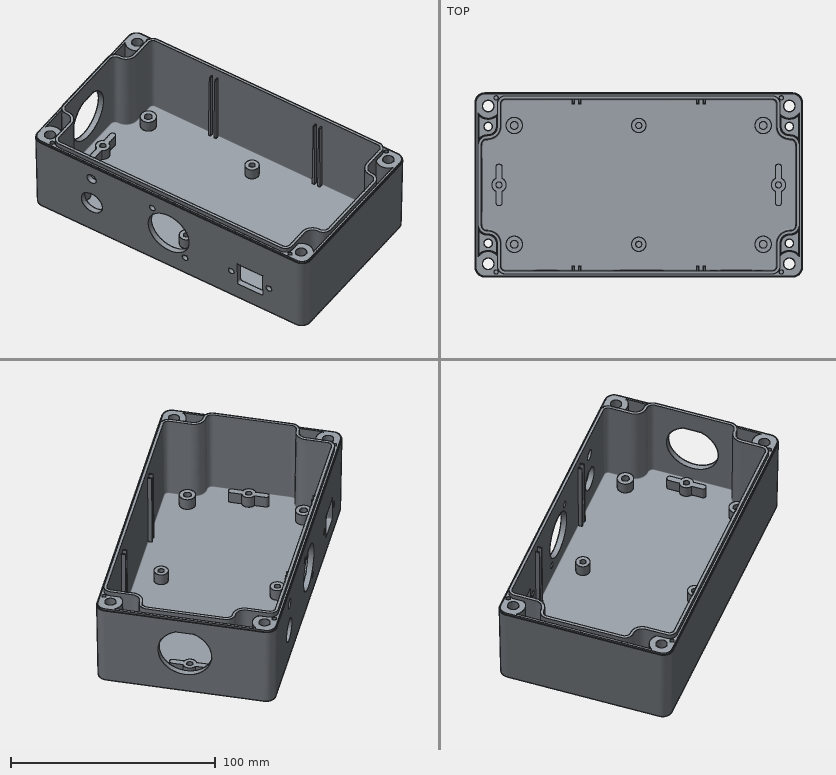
import cadquery as cq
import math

LENGTH = 159.97
WIDTH = 89.97
TOTAL_HEIGHT = 47.5
CORNER_RADIUS = 5.0
OUTER_DRAFT = 0.75
INNER_DRAFT = 0.65
BOTTOM_FILLET = 1.0
FLOOR_THICKNESS = 2.7
FLOOR_FILLET = 0.5

LIP_HEIGHT = 2.5
LIP_THICKNESS = 1.5
LIP_HALF_LENGTH = 78.4
LIP_HALF_WIDTH = 43.5
NECK_HALF_LENGTH = 69.0
LIP_CORNER_RADIUS = 4.0
NECK_RADIUS = 4.5
RIM_Z = TOTAL_HEIGHT - LIP_HEIGHT

LEDGE_WIDTH = 0.5
LEDGE_DEPTH = 1.0
LEDGE_Z = RIM_Z - LEDGE_DEPTH

CORNER_HOLE_X = NECK_HALF_LENGTH + NECK_RADIUS
LID_HOLE_Y = 38.5
LID_HOLE_DIAMETER = 5.5
LID_TOWER_RADIUS = 6.0
MOUNTING_HOLE_Y = 28.5
MOUNTING_HOLE_DIAMETER = 4.0
PIN_HOLE_X = 69.6
PIN_HOLE_Y = 42.5
PIN_HOLE_DIAMETER = 2.1
PIN_HOLE_DEPTH = 5.0

STANDOFF_HEIGHT = 6.0
STANDOFF_Y = 29.0
CORNER_STANDOFF_X = 60.75
CORNER_STANDOFF_DIAMETER = 8.0
CORNER_STANDOFF_BORE = 3.8
MIDDLE_STANDOFF_DIAMETER = 7.0
MIDDLE_STANDOFF_BORE = 3.0

WINGED_BOSS_X = 68.2
WINGED_BOSS_HEIGHT = 6.0
WINGED_BOSS_DIAMETER = 7.0
WINGED_BOSS_BORE = 3.0
WING_SPAN = 20.2
WING_THICKNESS = 3.0
WING_END_RADIUS = 1.4

GUIDE_X = 30.4
GUIDE_RIB_SPACING = 3.2
GUIDE_RIB_THICKNESS = 1.3
GUIDE_RIB_TIP_Y = 39.6
GUIDE_RIB_TOP_Z = 42.0
GUIDE_RIB_DRAFT = 0.5

BUTTON_X = -45.0
BUTTON_HOLE_DIAMETER = 12.3
BUTTON_HOLE_Z = 19.0
LAMP_HOLE_DIAMETER = 5.4
LAMP_HOLE_Z = 35.5
CONNECTOR_Z = 23.0
CONNECTOR_DIAMETER = 24.0
CONNECTOR_SCREW_DX = 9.5
CONNECTOR_SCREW_DZ = 12.0
WINDOW_X = 47.6
WINDOW_Z = 16.8
WINDOW_WIDTH = 14.9
WINDOW_HEIGHT = 13.6
WINDOW_CORNER_RADIUS = 1.0
WINDOW_SCREW_SPACING = 22.0
PANEL_SCREW_DIAMETER = 3.3

END_HOLE_Z = 24.2
END_HOLE_DIAMETER = 26.8
END_HOLE_FLAT_HEIGHT = 12.6

CUTTER_DEPTH = 5.0

SIDES = (-1, 1)
QUADRANTS = [(side_x, side_y) for side_x in SIDES for side_y in SIDES]


def mirrored(x, y):
    """The four points that mirror (x, y) about both middle planes."""
    return [(side_x * x, side_y * y) for side_x, side_y in QUADRANTS]


def fillet_uprights(block, x, y, z, radius):
    """Round the four upright edges of block nearest the mirrors of (x, y, z)."""
    for corner_x, corner_y in mirrored(x, y):
        selector = cq.selectors.NearestToPointSelector((corner_x, corner_y, z))
        block = block.edges(selector).fillet(radius)
    return block


def drafted_block(length, width, top_z, depth, radius, taper):
    """Block hanging down from top_z with rounded corners, narrowing downwards for a positive taper."""
    block = cq.Workplane("XY", origin=(0, 0, top_z)).rect(length, width).extrude(-depth, taper=taper)
    return fillet_uprights(block, length / 2, width / 2, top_z - depth / 2, radius)


def stepped_block(inset, top_z, depth, taper=0):
    """Block hanging down from top_z, with the lip outline moved inwards by inset as its top.

    The outline is a rectangle that steps in at each corner, round the mounting hole.
    """
    end_x = LIP_HALF_LENGTH - inset
    end_y = LIP_HALF_WIDTH - inset
    neck_x = NECK_HALF_LENGTH - inset
    shoulder_y = MOUNTING_HOLE_Y - NECK_RADIUS - inset
    quarter = [(end_x, shoulder_y), (neck_x, shoulder_y), (neck_x, end_y)]
    back_half = quarter + [(-x, y) for x, y in reversed(quarter)]
    front_half = [(-x, -y) for x, y in back_half]
    block = (
        cq.Workplane("XY", origin=(0, 0, top_z))
        .polyline(back_half + front_half).close()
        .extrude(-depth)
    )
    mid_z = top_z - depth / 2
    block = fillet_uprights(block, end_x, shoulder_y, mid_z, NECK_RADIUS - inset)
    block = fillet_uprights(block, neck_x, shoulder_y, mid_z, NECK_RADIUS + inset)
    block = fillet_uprights(block, neck_x, end_y, mid_z, LIP_CORNER_RADIUS - inset)
    if taper == 0:
        return block
    outline = block.faces(">Z").wires().val()
    return cq.Workplane("XY", origin=(0, 0, top_z)).add(outline).toPending().extrude(-depth, taper=taper)


def outer_body():
    """Drafted body with a rounded bottom edge, and the narrower band above the ledge."""
    body = drafted_block(LENGTH, WIDTH, LEDGE_Z, LEDGE_Z, CORNER_RADIUS, OUTER_DRAFT)
    body = body.faces("<Z").edges().fillet(BOTTOM_FILLET)
    band = drafted_block(
        LENGTH - 2 * LEDGE_WIDTH, WIDTH - 2 * LEDGE_WIDTH, RIM_Z, LEDGE_DEPTH, CORNER_RADIUS - LEDGE_WIDTH, 0
    )
    return body.union(band)


def cavity():
    """Inside of the box: upright within the lip, drafted below it, rounded at the floor."""
    upper = stepped_block(LIP_THICKNESS, TOTAL_HEIGHT, LIP_HEIGHT)
    lower = stepped_block(LIP_THICKNESS, RIM_Z, RIM_Z - FLOOR_THICKNESS, INNER_DRAFT)
    lower = lower.faces("<Z").edges().fillet(FLOOR_FILLET)
    return lower.union(upper)


def corner_pockets():
    """Open pockets over the mounting holes, between the lip wall, the towers and the end walls."""
    depth = RIM_Z - FLOOR_THICKNESS
    pockets = (
        cq.Workplane("XY", origin=(0, 0, RIM_Z))
        .rect(2 * LIP_HALF_LENGTH, 2 * LID_HOLE_Y).extrude(-depth, taper=INNER_DRAFT)
    )
    towers = (
        cq.Workplane("XY", origin=(0, 0, RIM_Z))
        .pushPoints(mirrored(CORNER_HOLE_X, LID_HOLE_Y)).circle(LID_TOWER_RADIUS)
        .extrude(-depth, taper=-INNER_DRAFT)
    )
    return pockets.cut(stepped_block(0, RIM_Z, depth, -INNER_DRAFT)).cut(towers)


def corner_holes():
    """Through holes for the lid and mounting screws, and the blind pin holes beside the lip."""
    through = (
        cq.Workplane("XY")
        .pushPoints(mirrored(CORNER_HOLE_X, LID_HOLE_Y)).circle(LID_HOLE_DIAMETER / 2).extrude(RIM_Z)
        .pushPoints(mirrored(CORNER_HOLE_X, MOUNTING_HOLE_Y)).circle(MOUNTING_HOLE_DIAMETER / 2)
        .extrude(RIM_Z)
    )
    pins = (
        cq.Workplane("XY", origin=(0, 0, RIM_Z))
        .pushPoints(mirrored(PIN_HOLE_X, PIN_HOLE_Y)).circle(PIN_HOLE_DIAMETER / 2)
        .extrude(-PIN_HOLE_DEPTH)
    )
    return through.union(pins)


def standoff(points, diameter, bore):
    """Tubular standoffs on the floor, with blind bores, centred on points."""
    base = cq.Workplane("XY", origin=(0, 0, FLOOR_THICKNESS)).pushPoints(points)
    return base.circle(diameter / 2).circle(bore / 2).extrude(STANDOFF_HEIGHT)


def standoffs():
    """Four corner standoffs and a smaller pair on the middle plane."""
    corners = standoff(
        mirrored(CORNER_STANDOFF_X, STANDOFF_Y), CORNER_STANDOFF_DIAMETER, CORNER_STANDOFF_BORE
    )
    middle_points = [(0, side * STANDOFF_Y) for side in SIDES]
    return corners.union(standoff(middle_points, MIDDLE_STANDOFF_DIAMETER, MIDDLE_STANDOFF_BORE))


def winged_bosses():
    """Bored bosses near the end walls, each with a wing towards either long wall."""
    points = [(side * WINGED_BOSS_X, 0) for side in SIDES]
    base = cq.Workplane("XY", origin=(0, 0, FLOOR_THICKNESS)).pushPoints(points)
    wings = base.rect(WING_THICKNESS, WING_SPAN).extrude(WINGED_BOSS_HEIGHT)
    wings = wings.edges("|Z").fillet(WING_END_RADIUS)
    bosses = base.circle(WINGED_BOSS_DIAMETER / 2).extrude(WINGED_BOSS_HEIGHT)
    bores = base.circle(WINGED_BOSS_BORE / 2).extrude(WINGED_BOSS_HEIGHT)
    return wings.union(bosses).cut(bores)


def guide_ribs():
    """Pairs of upright ribs on both long walls, running down to the floor."""
    root_y = LIP_HALF_WIDTH
    points = [
        (side_x * GUIDE_X + rib_side * GUIDE_RIB_SPACING / 2, side_y * (root_y + GUIDE_RIB_TIP_Y) / 2)
        for side_x, side_y in QUADRANTS
        for rib_side in SIDES
    ]
    return (
        cq.Workplane("XY", origin=(0, 0, FLOOR_THICKNESS)).pushPoints(points)
        .rect(GUIDE_RIB_THICKNESS, root_y - GUIDE_RIB_TIP_Y)
        .extrude(GUIDE_RIB_TOP_Z - FLOOR_THICKNESS, taper=GUIDE_RIB_DRAFT)
    )


def front_wall_holes(points, diameter):
    """Cutters through the front wall at (x, z) points."""
    plane = cq.Workplane("XZ", origin=(0, -WIDTH / 2, 0))
    return plane.pushPoints(points).circle(diameter / 2).extrude(-CUTTER_DEPTH)


def front_wall_openings():
    """Button, lamp, round connector and window openings with their screw holes."""
    screws = [(side * CONNECTOR_SCREW_DX, CONNECTOR_Z - side * CONNECTOR_SCREW_DZ) for side in SIDES]
    screws += [(WINDOW_X + side * WINDOW_SCREW_SPACING / 2, WINDOW_Z) for side in SIDES]
    window = (
        cq.Workplane("XZ", origin=(0, -WIDTH / 2, 0))
        .center(WINDOW_X, WINDOW_Z).rect(WINDOW_WIDTH, WINDOW_HEIGHT).extrude(-CUTTER_DEPTH)
        .edges("|Y").edges("<Z").fillet(WINDOW_CORNER_RADIUS)
    )
    return (
        window
        .union(front_wall_holes([(BUTTON_X, BUTTON_HOLE_Z)], BUTTON_HOLE_DIAMETER))
        .union(front_wall_holes([(BUTTON_X, LAMP_HOLE_Z)], LAMP_HOLE_DIAMETER))
        .union(front_wall_holes([(0, CONNECTOR_Z)], CONNECTOR_DIAMETER))
        .union(front_wall_holes(screws, PANEL_SCREW_DIAMETER))
    )


def end_wall_opening():
    """Round opening with a flat top through the left end wall."""
    radius = END_HOLE_DIAMETER / 2
    plane = cq.Workplane("YZ", origin=(-LENGTH / 2, 0, END_HOLE_Z))
    opening = plane.circle(radius).extrude(CUTTER_DEPTH)
    height_kept = radius + END_HOLE_FLAT_HEIGHT
    middle_of_kept = (END_HOLE_FLAT_HEIGHT - radius) / 2
    below_flat = plane.center(0, middle_of_kept).rect(END_HOLE_DIAMETER, height_kept).extrude(CUTTER_DEPTH)
    return opening.intersect(below_flat)


result = (
    outer_body()
    .union(stepped_block(0, TOTAL_HEIGHT, LIP_HEIGHT))
    .cut(cavity())
    .cut(corner_pockets())
    .cut(corner_holes())
    .union(guide_ribs())
    .union(standoffs())
    .union(winged_bosses())
    .cut(front_wall_openings())
    .cut(end_wall_opening())
)